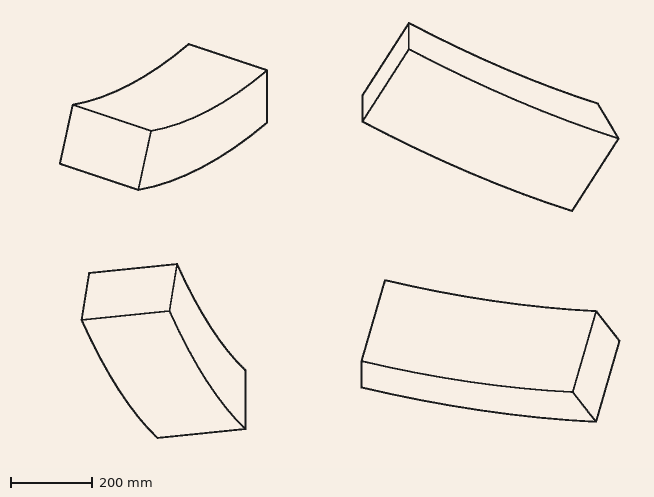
import cadquery as cq
import math

length = 598.5
width = 228.5
thickness = 152.5
sweep_angle = 23.0

outer_radius = length / math.sin(math.radians(sweep_angle))
inner_radius = outer_radius - thickness


def arc_point(radius, angle):
    """(Y, Z) on an arc whose lowest point lies on the +Y end face."""
    turn = math.radians(angle)
    return (length - radius * math.sin(turn), outer_radius - radius * math.cos(turn))


profile = (
    cq.Workplane("YZ")
    .moveTo(*arc_point(outer_radius, 0))
    .threePointArc(arc_point(outer_radius, sweep_angle / 2), arc_point(outer_radius, sweep_angle))
    .lineTo(*arc_point(inner_radius, sweep_angle))
    .threePointArc(arc_point(inner_radius, sweep_angle / 2), arc_point(inner_radius, 0))
    .close()
)

result = profile.extrude(width)